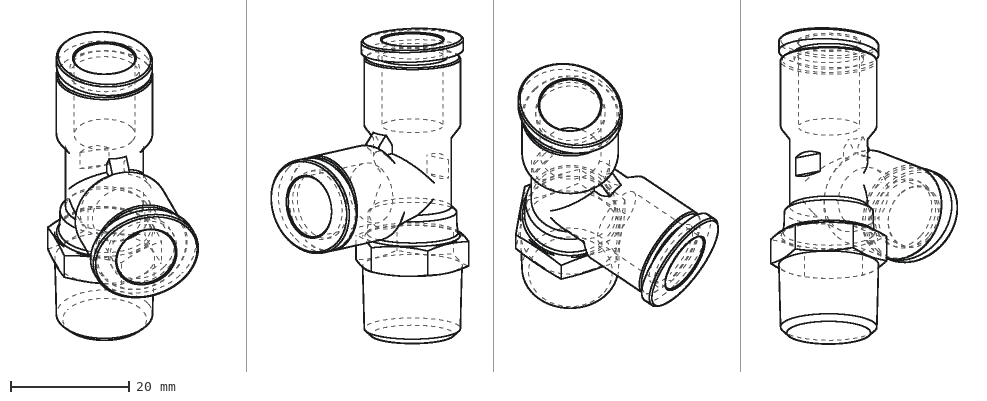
import cadquery as cq

total_height = 51.1
arm_length = 24.95
branch_height = total_height - arm_length
stem_radius = 6.6

body_diameter = 16.3
body_radius = body_diameter / 2
cone_start = 7.95
cone_end = 10.0
cone_fillet = 0.75
body_end = 21.8
body_chamfer = 0.25
neck_radius = 5.9
collar_thickness = 2.0
collar_major = 18.5
collar_minor = 16.0
collar_chamfer = 0.3
bore_radius = 5.15
bore_chamfer = 0.2
bore_depth = arm_length - cone_end

gusset_width = 3.0
gusset_leg = 17.75

flat_offset = 6.1
flat_bottom = 26.55
flat_top = 29.7
flat_slope = 1.1

thread_base_radius = body_radius
thread_top_radius = 8.45
thread_chamfer_height = 1.0
thread_chamfer_width = 1.05
hex_bottom = 11.95
hex_top = 17.05
hex_across_corners = 19.7
hex_bevel_radius = 8.45
hex_bevel_drop = 0.45
flange_radius = 8.05
sleeve_base_radius = 7.7
sleeve_base_height = 17.6
sleeve_radius = 7.5
sleeve_taper_top = 19.6
shoulder_bottom = 21.2
shoulder_top = 22.15


def revolved(points):
    """Solid of revolution about Z from (radius, height) points."""
    return cq.Workplane("XZ").polyline(points).close().revolve(360, (0, 0), (0, 1))


def circular_edge(solid, radius, height):
    """The circular edge about Z with the given radius and height."""
    margin = 0.025
    low = (-radius - margin, -radius - margin, height - margin)
    high = (radius + margin, radius + margin, height + margin)
    return solid.edges(cq.selectors.BoxSelector(low, high, boundingbox=True))


def make_arm():
    """Arm pointing up from the crossing point, with the long axis of its collar along X."""
    body = revolved([
        (0, 0),
        (stem_radius, 0),
        (stem_radius, cone_start),
        (body_radius, cone_end),
        (body_radius, body_end),
        (0, body_end),
    ])
    body = circular_edge(body, stem_radius, cone_start).fillet(cone_fillet)
    body = circular_edge(body, body_radius, cone_end).fillet(cone_fillet)
    body = circular_edge(body, body_radius, body_end).chamfer(body_chamfer)

    collar_base = arm_length - collar_thickness
    neck = cq.Workplane("XY").workplane(offset=body_end).circle(neck_radius).extrude(collar_base - body_end)
    collar = (
        cq.Workplane("XY")
        .workplane(offset=collar_base)
        .ellipse(collar_major / 2, collar_minor / 2)
        .extrude(collar_thickness)
        .faces(">Z")
        .edges()
        .chamfer(collar_chamfer)
    )
    return body.union(neck).union(collar)


def make_bore():
    """Blind tube socket with a bevelled mouth, on the axis of an upright arm."""
    return revolved([
        (0, arm_length - bore_depth),
        (bore_radius, arm_length - bore_depth),
        (bore_radius, arm_length - bore_chamfer),
        (bore_radius + bore_chamfer, arm_length),
        (0, arm_length),
    ])


def as_run(shape):
    """Place an upright arm shape on the main run."""
    return shape.translate((0, 0, branch_height))


def as_branch(shape):
    """Turn the collar's long axis to Y, then lay an upright arm shape along +X."""
    turned = shape.rotate((0, 0, 0), (0, 0, 1), 90)
    return turned.rotate((0, 0, 0), (0, 1, 0), 90).translate((0, 0, branch_height))


def make_gusset():
    """Triangular web bridging the corner between the arms."""
    return (
        cq.Workplane("XZ", origin=(0, 0, branch_height))
        .polyline([(0, 0), (gusset_leg, 0), (0, gusset_leg)])
        .close()
        .extrude(gusset_width / 2, both=True)
    )


def make_adapter():
    """Tapered thread blank, hexagon and stepped sleeve up to the stem."""
    thread = revolved([
        (0, 0),
        (thread_base_radius - thread_chamfer_width, 0),
        (thread_base_radius, thread_chamfer_height),
        (thread_top_radius, hex_bottom),
        (0, hex_bottom),
    ])
    hexagon = (
        cq.Workplane("XY")
        .workplane(offset=hex_bottom)
        .polygon(6, hex_across_corners)
        .extrude(hex_top - hex_bottom)
    )
    corner_radius = hex_across_corners / 2
    bevel_envelope = revolved([
        (0, hex_bottom),
        (hex_bevel_radius, hex_bottom),
        (corner_radius, hex_bottom + hex_bevel_drop),
        (corner_radius, hex_top - hex_bevel_drop),
        (hex_bevel_radius, hex_top),
        (0, hex_top),
    ])
    sleeve = revolved([
        (0, hex_top),
        (flange_radius, hex_top),
        (sleeve_base_radius, sleeve_base_height),
        (sleeve_radius, sleeve_taper_top),
        (sleeve_radius, shoulder_bottom),
        (stem_radius, shoulder_top),
        (stem_radius, branch_height),
        (0, branch_height),
    ])
    return thread.union(hexagon.intersect(bevel_envelope)).union(sleeve)


def make_flat_cutter():
    """Recess with a flat floor facing -X and sloping top and bottom walls."""
    flare = flat_slope * (stem_radius - flat_offset)
    return (
        cq.Workplane("XZ")
        .polyline([
            (-flat_offset, flat_bottom),
            (-flat_offset, flat_top),
            (-stem_radius, flat_top + flare),
            (-stem_radius, flat_bottom - flare),
        ])
        .close()
        .extrude(stem_radius, both=True)
    )


arm = make_arm()
bore = make_bore()
result = (
    make_adapter()
    .union(as_run(arm))
    .union(as_branch(arm))
    .union(make_gusset())
    .cut(as_run(bore))
    .cut(as_branch(bore))
    .cut(make_flat_cutter())
)